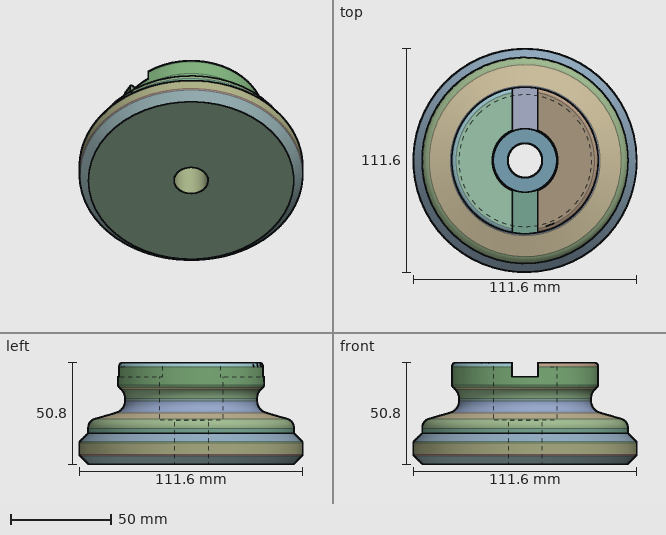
import cadquery as cq
import math

base_radius = 55.8
total_height = 50.8

rim_bottom = 4.6
rim_top = 11.2
rim_edge_radius = 1.1
foot_radius = base_radius - rim_bottom

shoulder_radius = 51.5
shoulder_bottom = rim_top + base_radius - shoulder_radius
shoulder_round_start = 18.1
shoulder_round = 4.9
cone_angle = math.radians(16)

neck_radius = 33.1
neck_top = 33.0
lower_cove = 6.0
upper_cove = 6.3
upper_cove_angle = math.radians(45)

head_diameter = 73.2
head_radius = head_diameter / 2
head_edge_round = 2.0
head_lower_edge_round = 1.7

bore_radius = 15.9
mouth_diameter = 32.7
mouth_radius = mouth_diameter / 2
mouth_depth = 1.7
bore_floor = 22.3
through_radius = 8.5
through_edge_chamfer = 0.2

slot_width = 13.0
slot_depth = 7.0
slot_floor_round = 0.3


def arc_point(center, radius, angle):
    """Point on a circle in the profile plane, with the angle measured from the outward radial direction."""
    return (center[0] + radius * math.cos(angle), center[1] + radius * math.sin(angle))


def make_body():
    """Revolve the outer profile, then round the rim and head edges."""
    shoulder_center = (shoulder_radius - shoulder_round, shoulder_round_start)
    cone_normal = math.pi / 2 - cone_angle
    shoulder_mid = arc_point(shoulder_center, shoulder_round, cone_normal / 2)
    cone_outer = arc_point(shoulder_center, shoulder_round, cone_normal)

    lower_center_r = neck_radius + lower_cove
    cone_inner_r = lower_center_r - lower_cove * math.sin(cone_angle)
    cone_inner_z = cone_outer[1] + (cone_outer[0] - cone_inner_r) * math.tan(cone_angle)
    lower_center = (lower_center_r, cone_inner_z + lower_cove * math.cos(cone_angle))
    lower_mid = arc_point(lower_center, lower_cove, math.pi + cone_normal / 2)

    upper_center = (neck_radius + upper_cove, neck_top)
    upper_mid = arc_point(upper_center, upper_cove, math.pi - upper_cove_angle / 2)
    upper_end = arc_point(upper_center, upper_cove, math.pi - upper_cove_angle)
    head_bottom = upper_end[1] + (head_radius - upper_end[0]) / math.tan(upper_cove_angle)

    profile = (
        cq.Workplane("XZ")
        .moveTo(0, 0)
        .lineTo(foot_radius, 0)
        .lineTo(base_radius, rim_bottom)
        .lineTo(base_radius, rim_top)
        .lineTo(shoulder_radius, shoulder_bottom)
        .lineTo(shoulder_radius, shoulder_round_start)
        .threePointArc(shoulder_mid, cone_outer)
        .lineTo(cone_inner_r, cone_inner_z)
        .threePointArc(lower_mid, (neck_radius, lower_center[1]))
        .lineTo(neck_radius, neck_top)
        .threePointArc(upper_mid, upper_end)
        .lineTo(head_radius, head_bottom)
        .lineTo(head_radius, total_height)
        .lineTo(0, total_height)
        .close()
    )
    body = profile.revolve(360, (0, 0, 0), (0, 1, 0))
    body = round_edge(body, base_radius, rim_bottom, rim_edge_radius)
    body = round_edge(body, base_radius, rim_top, rim_edge_radius)
    body = round_edge(body, head_radius, head_bottom, head_lower_edge_round)
    return round_edge(body, head_radius, total_height, head_edge_round)


def round_edge(body, edge_radius, height, fillet_radius):
    """Fillet the circular edge that has the given radius and height."""
    margin = 0.06
    size = 2 * (edge_radius + margin)
    ring = cq.selectors.BoxSelector(
        (-size / 2, -size / 2, height - margin),
        (size / 2, size / 2, height + margin),
        boundingbox=True,
    )
    edge = body.edges(ring).edges("%CIRCLE").edges(cq.selectors.RadiusNthSelector(-1))
    return edge.fillet(fillet_radius)


def make_bore():
    """Through hole with a chamfered upper edge, wide bore and tapered mouth as one cutter."""
    return (
        cq.Workplane("XZ")
        .moveTo(0, 0)
        .lineTo(through_radius, 0)
        .lineTo(through_radius, bore_floor - through_edge_chamfer)
        .lineTo(through_radius + through_edge_chamfer, bore_floor)
        .lineTo(bore_radius, bore_floor)
        .lineTo(bore_radius, total_height - mouth_depth)
        .lineTo(mouth_radius, total_height)
        .lineTo(0, total_height)
        .close()
        .revolve(360, (0, 0, 0), (0, 1, 0))
    )


def make_slot():
    """Cutter spanning the whole head, with its two lower edges rounded."""
    return (
        cq.Workplane("XY", origin=(0, 0, total_height - slot_depth))
        .rect(slot_width, 2 * base_radius)
        .extrude(slot_depth)
        .edges("|Y and <Z")
        .fillet(slot_floor_round)
    )


result = make_body().cut(make_bore()).cut(make_slot())